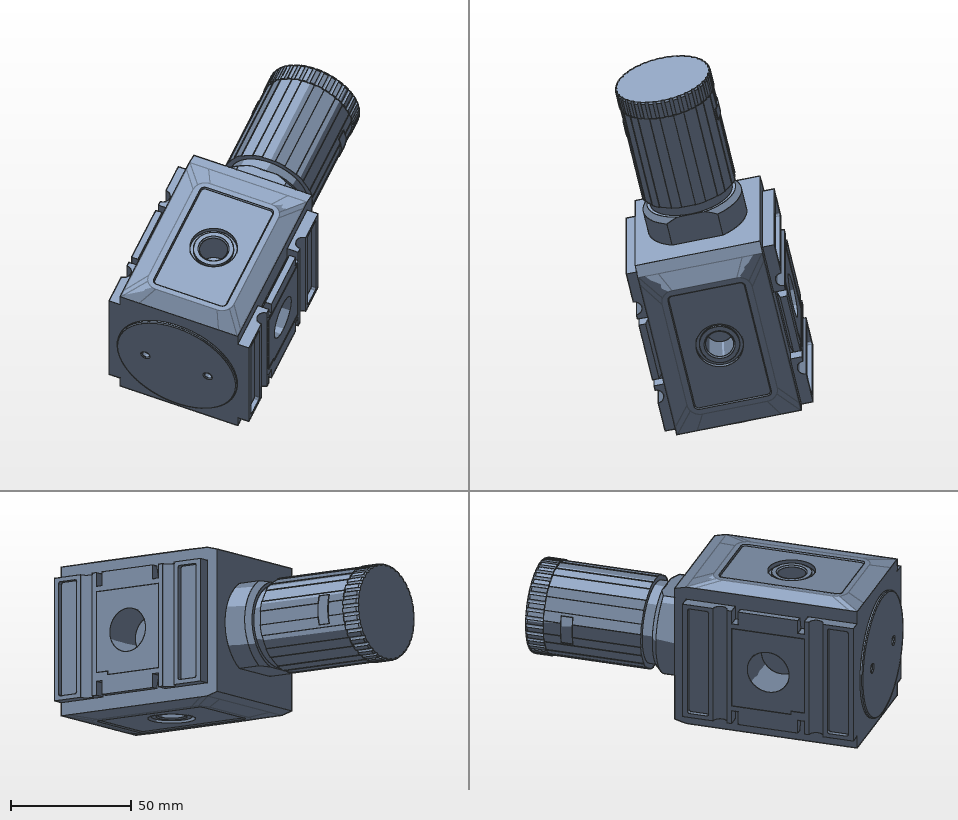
import cadquery as cq
import math


cap_thickness = 1.2
body_start = 2.5
body_end = 77.4
shoulder_end = 82.5
nut_end = 94.8
knob_start = 99.6
knurl_start = 142.2
overall_length = 150.0
body_length = body_end - body_start
body_mid = (body_start + body_end) / 2

body_half_width = 26.5
body_half_height = 31.5
shoulder_half_height = 30.2

overall_height = 66.8
pad_height = overall_height / 2 - body_half_height
pad_base_half_width = 26.2
pad_top_half_width = 19.2
pad_top_half_length = 29.4
pad_corner_radius = 5.4
pad_corner_split = 32.0
pad_base_straight = 17.8
pad_base_side_straight = 33.8
panel_half_width = 16.5
panel_half_length = 27.0
panel_radius = 2.1
panel_draft = 0.5
panel_depth = 0.6

gauge_mouth_radius = 9.9
gauge_land_radius = 8.4
gauge_land_depth = 0.8
gauge_groove_depth = 2.0
gauge_thread_radius = 5.8
gauge_chamfer = 0.6
gauge_depth = 15.0

flange_half_width = 31.5
flange_half_height = 26.0
groove_radius = 3.0
groove_spacing = 42.0

pocket_width = 9.2
pocket_height = 48.3
pocket_radius = 0.9
pocket_depth = 2.1
pocket_spacing = 61.2

clamp_length = 31.8
rib_length = 26.1
clamp_depth = 5.8
rib_tip_width = 2.8
rib_root_width = 4.4

seat_length = 31.8
seat_half_height = 17.8
seat_depth = 0.3
seat_key_length = 5.8
seat_key_height = 1.5
side_port_mouth_radius = 9.2
side_port_floor_radius = 8.8
side_port_depth = 18.0

cap_radius = 27.0
cap_chamfer = 0.5
cap_neck_radius = 22.0
pin_hole_radius = 1.6
pin_hole_chamfer = 0.5
pin_hole_depth = 4.5
pin_hole_spacing = 28.0

nut_radius = 21.0
nut_half_flats = 18.0
nut_end_radius = 18.9
nut_chamfer_length = 2.2
neck_radius = 17.5

knob_radius = 20.0
flute_count = 12
flute_angle = 17.0
flute_depth = 0.3
knurl_radius = 20.2
knurl_chamfer_length = 0.9
knurl_chamfer = 0.38
knurl_count = 36
knurl_groove_width = 1.5
knurl_groove_depth = 0.8
clip_start = 129.5
clip_end = 134.5
clip_half_height = 6.2


def cylinder_y(radius, start, end):
    """Cylinder about the Y axis between two Y stations."""
    base = cq.Vector(0, start, 0)
    return cq.Workplane(cq.Solid.makeCylinder(radius, end - start, base, cq.Vector(0, 1, 0)))


def box_between(x_range, y_range, z_range):
    """Box spanning the given (low, high) ranges."""
    sizes = [high - low for low, high in (x_range, y_range, z_range)]
    corner = cq.Vector(x_range[0], y_range[0], z_range[0])
    return cq.Workplane(cq.Solid.makeBox(*sizes, corner))


def around_axis(tool, count):
    """Copies of a tool evenly spaced about the Y axis."""
    solids = []
    for index in range(count):
        angle = index * 360 / count
        solids.append(tool.rotate((0, 0, 0), (0, 1, 0), angle).val())
    return cq.Workplane(cq.Compound.makeCompound(solids))


def both_sides(shape, plane):
    """A shape together with its mirror image in a plane through the origin."""
    return cq.Workplane(cq.Compound.makeCompound([shape.val(), shape.mirror(plane).val()]))


def main_block():
    """Valve body with a wedge-shaped shoulder towards the bonnet."""
    profile = [
        (body_start, body_half_height),
        (body_end, body_half_height),
        (shoulder_end, shoulder_half_height),
        (shoulder_end, -shoulder_half_height),
        (body_end, -body_half_height),
        (body_start, -body_half_height),
    ]
    return cq.Workplane("YZ").polyline(profile).close().extrude(body_half_width, both=True)


def pad_outline(quarter_points, height, corner_center=None):
    """Closed outline mirrored into four quarters; corner arcs are used if a corner centre is given."""
    start, split, end = quarter_points
    edges = []
    signs = [(1, 1), (-1, 1), (-1, -1), (1, -1)]
    corners = []
    for sx, sy in signs:
        points = [cq.Vector(sx * x, sy * y, height) for x, y in (start, split, end)]
        arc_center = None
        if corner_center:
            arc_center = cq.Vector(sx * corner_center[0], sy * corner_center[1], height)
        if sx != sy:
            points.reverse()
        corners.append((points, arc_center))
    for index, (points, arc_center) in enumerate(corners):
        for first, second in zip(points, points[1:]):
            if arc_center:
                bisector = (first + second) * 0.5 - arc_center
                middle = arc_center + bisector.normalized() * pad_corner_radius
                edges.append(cq.Edge.makeThreePointArc(first, middle, second))
            else:
                edges.append(cq.Edge.makeLine(first, second))
        next_points = corners[(index + 1) % len(corners)][0]
        edges.append(cq.Edge.makeLine(points[-1], next_points[0]))
    return cq.Wire.assembleEdges(edges)


def pad():
    """Raised pad with sloped sides and a sunken panel with drafted walls."""
    base_half_length = body_length / 2
    base_points = [
        (pad_base_half_width, pad_base_side_straight),
        (pad_base_half_width, base_half_length),
        (pad_base_straight, base_half_length),
    ]
    center_x = pad_top_half_width - pad_corner_radius
    center_y = pad_top_half_length - pad_corner_radius
    split_angle = math.radians(pad_corner_split)
    top_points = [
        (pad_top_half_width, center_y),
        (
            center_x + pad_corner_radius * math.cos(split_angle),
            center_y + pad_corner_radius * math.sin(split_angle),
        ),
        (center_x, pad_top_half_length),
    ]
    base = pad_outline(base_points, body_half_height)
    top = pad_outline(top_points, body_half_height + pad_height, (center_x, center_y))
    raised = cq.Workplane(cq.Solid.makeLoft([base, top], True))

    mouth = (
        cq.Sketch()
        .rect(2 * panel_half_width, 2 * panel_half_length)
        .vertices()
        .fillet(panel_radius)
    )
    floor = (
        cq.Sketch()
        .rect(2 * (panel_half_width - panel_draft), 2 * (panel_half_length - panel_draft))
        .vertices()
        .fillet(panel_radius - panel_draft)
    )
    panel = (
        cq.Workplane("XY", origin=(0, 0, overall_height / 2 - panel_depth))
        .placeSketch(floor, mouth.moved(cq.Location(cq.Vector(0, 0, panel_depth))))
        .loft()
    )
    return raised.cut(panel).translate((0, body_mid, 0))


def gauge_port():
    """Blind port with a sunken sealing land and a ring groove around it."""
    depth_profile = [
        (0, 0),
        (gauge_mouth_radius, 0),
        (gauge_mouth_radius, -gauge_groove_depth),
        (gauge_land_radius, -gauge_groove_depth),
        (gauge_land_radius, -gauge_land_depth),
        (gauge_thread_radius + gauge_chamfer, -gauge_land_depth),
        (gauge_thread_radius, -gauge_land_depth - gauge_chamfer),
        (gauge_thread_radius, -gauge_depth),
        (0, -gauge_depth),
    ]
    port = cq.Workplane("XZ").polyline(depth_profile).close().revolve(360, (0, 0, 0), (0, 1, 0))
    return port.translate((0, body_mid, overall_height / 2 - panel_depth))


def clamp_recess():
    """Recess at the upper edge of the +X flange, around the tapered rib."""
    floor = flange_half_height - clamp_depth
    recess = box_between(
        (body_half_width, flange_half_width),
        (body_mid - clamp_length / 2, body_mid + clamp_length / 2),
        (floor, flange_half_height),
    )
    rib_profile = [
        (flange_half_width, floor),
        (flange_half_width, flange_half_height),
        (flange_half_width - rib_tip_width, flange_half_height),
        (flange_half_width - rib_root_width, floor),
    ]
    rib_plane = cq.Workplane("XZ", origin=(0, body_mid, 0))
    rib = rib_plane.polyline(rib_profile).close().extrude(rib_length / 2, both=True)
    return recess.cut(rib)


def port_seat():
    """Shallow seat with a keyed corner, sunk into the +X flange face."""
    low_y = body_mid - seat_length / 2
    high_y = body_mid + seat_length / 2
    outline = [
        (low_y, seat_half_height),
        (high_y, seat_half_height),
        (high_y, -seat_half_height),
        (low_y + seat_key_length, -seat_half_height),
        (low_y + seat_key_length, -seat_half_height + seat_key_height),
        (low_y, -seat_half_height + seat_key_height),
    ]
    plane = cq.Workplane("YZ", origin=(flange_half_width - seat_depth, 0, 0))
    return plane.polyline(outline).close().extrude(seat_depth)


def side_port():
    """Slightly tapered blind port in the +X side."""
    mouth = flange_half_width - seat_depth
    profile = [
        (mouth, 0),
        (mouth, side_port_mouth_radius),
        (flange_half_width - side_port_depth, side_port_floor_radius),
        (flange_half_width - side_port_depth, 0),
    ]
    port = cq.Workplane("XY").polyline(profile).close().revolve(360, (0, 0, 0), (1, 0, 0))
    return port.translate((0, body_mid, 0))


def flange():
    """Mounting flange on the +X side with all its cuts except the side port."""
    plate = box_between(
        (body_half_width, flange_half_width),
        (body_start, body_end),
        (-flange_half_height, flange_half_height),
    )
    grooves = (
        cq.Workplane("XY", origin=(flange_half_width, body_mid, 0))
        .pushPoints([(0, -groove_spacing / 2), (0, groove_spacing / 2)])
        .circle(groove_radius)
        .extrude(flange_half_height, both=True)
    )
    pockets = (
        cq.Workplane("YZ", origin=(flange_half_width - pocket_depth, body_mid, 0))
        .pushPoints([(-pocket_spacing / 2, 0), (pocket_spacing / 2, 0)])
        .rect(pocket_width, pocket_height)
        .extrude(pocket_depth)
        .edges("|X")
        .fillet(pocket_radius)
    )
    plate = plate.cut(grooves).cut(pockets).cut(port_seat())
    return plate.cut(both_sides(clamp_recess(), "XY"))


def bottom_cap():
    """Thin chamfered disc on a narrower neck."""
    disc = cylinder_y(cap_radius, 0, cap_thickness).faces("<Y").edges().chamfer(cap_chamfer)
    return disc.union(cylinder_y(cap_neck_radius, cap_thickness, body_start))


def pin_hole():
    """Chamfered blind hole in the bottom cap, on the +X side."""
    profile = [
        (0, 0),
        (pin_hole_radius + pin_hole_chamfer, 0),
        (pin_hole_radius, pin_hole_chamfer),
        (pin_hole_radius, pin_hole_depth),
        (0, pin_hole_depth),
    ]
    hole = cq.Workplane("XY").polyline(profile).close().revolve(360, (0, 0, 0), (0, 1, 0))
    return hole.translate((pin_hole_spacing / 2, 0, 0))


def bonnet():
    """Round nut with two flats and a chamfered end, followed by the neck."""
    profile = [
        (0, shoulder_end),
        (nut_radius, shoulder_end),
        (nut_radius, nut_end - nut_chamfer_length),
        (nut_end_radius, nut_end),
        (0, nut_end),
    ]
    nut = cq.Workplane("XY").polyline(profile).close().revolve(360, (0, 0, 0), (0, 1, 0))
    between_flats = box_between(
        (-nut_radius, nut_radius),
        (shoulder_end, nut_end),
        (-nut_half_flats, nut_half_flats),
    )
    return nut.intersect(between_flats).union(cylinder_y(neck_radius, nut_end, knob_start))


def flute():
    """Shallow strip, one flute wide, along the grip of the knob."""
    half_angle = math.radians(flute_angle / 2)
    outer = knob_radius
    inner = knob_radius - flute_depth
    side_x = math.sin(half_angle)
    side_z = math.cos(half_angle)
    section = (
        cq.Workplane("XZ", origin=(0, knurl_start, 0))
        .moveTo(-inner * side_x, inner * side_z)
        .threePointArc((0, inner), (inner * side_x, inner * side_z))
        .lineTo(outer * side_x, outer * side_z)
        .threePointArc((0, outer), (-outer * side_x, outer * side_z))
        .close()
    )
    return section.extrude(knurl_start - knob_start)


def knurled_ring():
    """Chamfered end ring of the knob with rounded grooves along its rim."""
    profile = [
        (0, knurl_start),
        (knurl_radius, knurl_start),
        (knurl_radius, overall_length - knurl_chamfer_length),
        (knurl_radius - knurl_chamfer, overall_length),
        (0, overall_length),
    ]
    ring = cq.Workplane("XY").polyline(profile).close().revolve(360, (0, 0, 0), (0, 1, 0))
    half_width = knurl_groove_width / 2
    cutter_radius = (half_width**2 + knurl_groove_depth**2) / (2 * knurl_groove_depth)
    cutter_offset = knurl_radius - knurl_groove_depth + cutter_radius
    cutter = cylinder_y(cutter_radius, knurl_start, overall_length).translate((0, 0, cutter_offset))
    return ring.cut(around_axis(cutter, knurl_count))


def knob():
    """Fluted grip with a small raised clip on each X side and the knurled ring."""
    grip = cylinder_y(knob_radius, knob_start, knurl_start)
    grip = grip.cut(around_axis(flute(), flute_count))
    clip = box_between(
        (-knurl_radius, knurl_radius),
        (clip_start, clip_end),
        (-clip_half_height, clip_half_height),
    ).intersect(cylinder_y(knurl_radius, clip_start, clip_end))
    return grip.union(clip).union(knurled_ring())


result = (
    main_block()
    .union(both_sides(pad(), "XY"))
    .union(both_sides(flange(), "YZ"))
    .union(bottom_cap())
    .union(bonnet())
    .union(knob())
    .cut(both_sides(gauge_port(), "XY"))
    .cut(both_sides(side_port(), "YZ"))
    .cut(both_sides(pin_hole(), "YZ"))
)